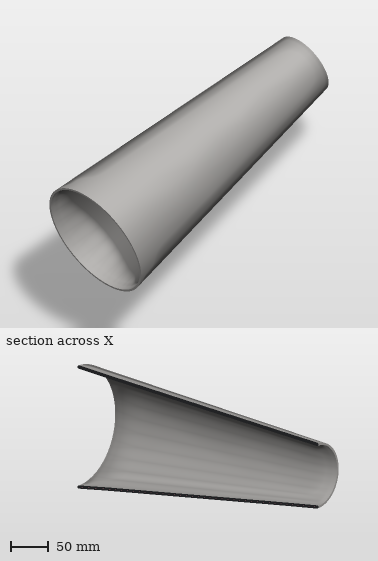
import cadquery as cq

length = 400.0
wide_diameter = 168.5
narrow_diameter = 89.0
wall = 3.0

wide_radius = wide_diameter / 2
narrow_radius = narrow_diameter / 2
wide_end = -length / 2
narrow_end = length / 2

wall_section = (
    cq.Workplane("XY")
    .moveTo(wide_radius - wall, wide_end)
    .lineTo(wide_radius, wide_end)
    .lineTo(narrow_radius, narrow_end)
    .lineTo(narrow_radius - wall, narrow_end)
    .close()
)

result = wall_section.revolve(360, (0, 0, 0), (0, 1, 0))